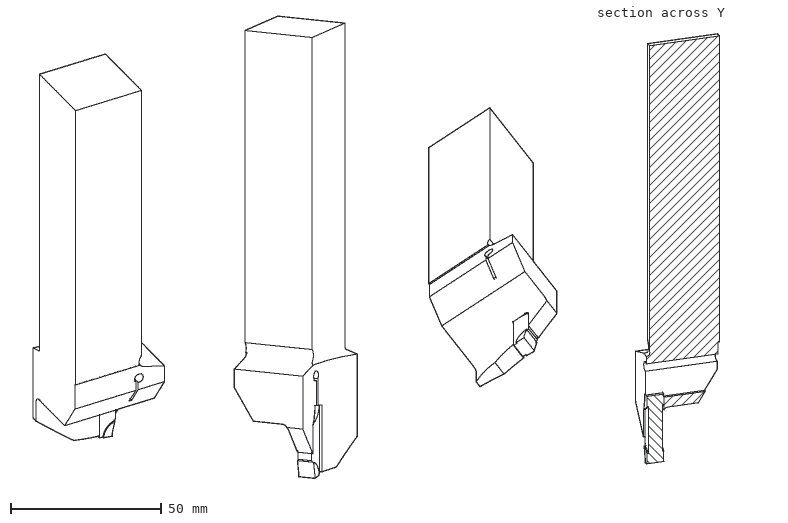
import cadquery as cq

total_height = 150.0
total_width = 29.4
head_depth = 34.0
margin = 1.5

shank_left = 4.5
shank_depth = 25.0
shank_bottom = 40.2
neck_radius = 1.0

head_right = 29.0
head_side_top = 37.8
head_shoulder_z = 38.8
head_bottom = 19.5
head_bevel_width = 7.0
head_bevel_height = 10.8
head_back_top = 36.6
head_back_bottom = 18.6
jaw_slope_end = 8.7
neck_depth = 24.2
neck_relief_top = 43.8
neck_relief_end = 26.2

blade_bottom = 1.4
blade_front_bottom = 9.8
blade_toe_depth = 11.4
blade_front_thickness = 2.2
blade_right = 9.3
blade_curve_end = 21.3
blade_mid_right = 7.42
root_radius = 1.8
outer_curve_end = 32.1
outer_curve_offset = 3.6
outer_mid_depth = 14.7
outer_mid_offset = 2.62

insert_left = 3.6
insert_right = 9.6
insert_front = 20.2
insert_back = 26.4
insert_length = 24.8
cutting_edge_y = 24.9
insert_step_y = 25.88
edge_length = 6.3
rake_step = 1.4
rake_start = 0.6
flank_relief = 0.5
flank_curve_front = 21.6
flank_curve_y = 23.1
flank_curve_height = 4.0

slit_hole_y = 24.3
slit_hole_z = 34.8
slit_hole_radius = 1.6
slit_front = 23.1
slit_width = 0.9


def side_outline():
    """Front-to-back outline of the holder, in the YZ plane."""
    relief_middle = (neck_relief_top + head_shoulder_z) / 2
    return (
        cq.Workplane("YZ")
        .moveTo(0, total_height)
        .lineTo(shank_depth, total_height)
        .lineTo(shank_depth, neck_relief_top)
        .threePointArc((neck_depth, relief_middle), (neck_relief_end, head_shoulder_z))
        .lineTo(head_depth, head_back_top)
        .lineTo(head_depth, head_back_bottom)
        .lineTo(insert_back, jaw_slope_end)
        .lineTo(insert_front, blade_bottom)
        .lineTo(blade_toe_depth, blade_bottom)
        .lineTo(0, blade_front_bottom)
        .close()
        .extrude(total_width)
    )


def shank_and_head():
    """Shank with the offset head below it."""
    head_x_bevel = head_right - head_bevel_width
    neck_x = shank_left - neck_radius
    outline = (
        cq.Workplane("XZ")
        .moveTo(shank_left, total_height)
        .lineTo(total_width, total_height)
        .lineTo(total_width, shank_bottom)
        .lineTo(head_right, shank_bottom)
        .lineTo(head_right, head_bottom + head_bevel_height)
        .lineTo(head_x_bevel, head_bottom)
        .lineTo(0, head_bottom)
        .lineTo(0, head_side_top)
        .lineTo(neck_x, head_shoulder_z)
        .radiusArc((shank_left, shank_bottom), -neck_radius)
        .close()
    )
    return outline.extrude(-head_depth)


def blade():
    """Curved blade under the head."""
    return (
        cq.Workplane("XY")
        .lineTo(blade_front_thickness, 0)
        .threePointArc((blade_mid_right, blade_toe_depth), (blade_right, blade_curve_end))
        .lineTo(blade_right, head_depth)
        .lineTo(0, head_depth)
        .close()
        .extrude(head_bottom)
    )


def round_blade_root(body):
    """Fillet the corner between the inner blade wall and the head."""
    tolerance = 0.2
    root = cq.selectors.BoxSelector(
        (blade_front_thickness / 2, -margin, head_bottom - tolerance),
        (blade_right + tolerance, head_depth - margin, head_bottom + tolerance),
    )
    return body.edges(root).fillet(root_radius)


def outer_curve_cut():
    """Material removed to leave the concave outer side."""
    return (
        cq.Workplane("XY")
        .threePointArc(
            (outer_mid_offset, outer_mid_depth),
            (outer_curve_offset, outer_curve_end),
        )
        .lineTo(outer_curve_offset, head_depth + margin)
        .lineTo(-margin, head_depth + margin)
        .lineTo(-margin, 0)
        .close()
        .extrude(shank_bottom + margin)
    )


def insert_outline(left, right):
    """Double-ended insert blank between two X positions."""
    end = insert_length
    return (
        cq.Workplane("YZ", origin=(left, 0, 0))
        .moveTo(insert_front, rake_start)
        .lineTo(cutting_edge_y, 0)
        .lineTo(cutting_edge_y, rake_step)
        .lineTo(insert_step_y, edge_length - rake_start)
        .lineTo(insert_back, edge_length)
        .lineTo(insert_back, end - edge_length)
        .lineTo(insert_step_y, end - edge_length + rake_start)
        .lineTo(cutting_edge_y, end - rake_step)
        .lineTo(cutting_edge_y, end)
        .lineTo(insert_front, end - rake_start)
        .close()
        .extrude(right - left)
    )


def insert_end_region():
    """Curved region of full width at the lower end of the insert."""
    return (
        cq.Workplane("YZ")
        .moveTo(flank_curve_front, -margin)
        .lineTo(flank_curve_front, rake_start)
        .threePointArc((flank_curve_y, flank_curve_height), (insert_step_y, edge_length - rake_start))
        .lineTo(insert_back, edge_length - rake_start)
        .lineTo(insert_back, -margin)
        .close()
        .extrude(total_width)
    )


def make_insert():
    """Cutting insert with full-width ends and a relieved middle."""
    full = insert_outline(insert_left, insert_right)
    middle = insert_outline(insert_left + flank_relief, insert_right - flank_relief)
    lower_end = full.intersect(insert_end_region())
    upper_end = lower_end.mirror("XY", (0, 0, insert_length / 2))
    return middle.union(lower_end).union(upper_end)


def insert_seat():
    """Recess that takes the insert, open at the outer side and below."""
    return insert_outline(-margin, insert_right)


def clamping_slit():
    """Relief hole and narrow slit that make the upper jaw flexible."""
    hole = (
        cq.Workplane("YZ")
        .center(slit_hole_y, slit_hole_z)
        .circle(slit_hole_radius)
        .extrude(total_width)
    )
    slit_bottom = insert_length - rake_step
    slit = cq.Workplane("XY").box(
        total_width, slit_width, slit_hole_z - slit_bottom, centered=False
    ).translate((0, slit_front, slit_bottom))
    return hole.union(slit)


def make_holder():
    """Tool holder with its curved blade, seat and slit."""
    body = round_blade_root(shank_and_head().union(blade()))
    body = body.intersect(side_outline())
    body = body.cut(outer_curve_cut())
    return body.cut(insert_seat()).cut(clamping_slit())


holder = make_holder()
insert = make_insert()
result = cq.Compound.makeCompound([holder.val(), insert.val()])